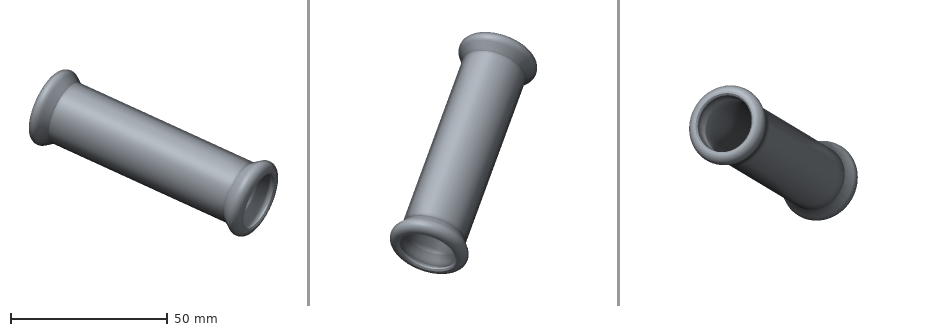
import cadquery as cq
import math

length = 80.0
bead_diameter = 26.2
tube_diameter = 21.3
bore_diameter = 18.2
bead_radius = 2.6
flare_end = 7.0
mouth_diameter = 19.9
chamfer_depth = 0.5
lip_diameter = 18.8
lip_end = 1.0
taper_start = 3.0
taper_start_diameter = 22.1
taper_end = 6.2
taper_end_diameter = 18.3
bore_start = 7.4

half_length = length / 2
tube_radius = tube_diameter / 2
mouth_radius = mouth_diameter / 2
lip_radius = lip_diameter / 2
taper_start_radius = taper_start_diameter / 2
taper_end_radius = taper_end_diameter / 2
bore_radius = bore_diameter / 2
bead_center_radius = bead_diameter / 2 - bead_radius

flare_run = flare_end - bead_radius
flare_rise = tube_radius - bead_center_radius
flare_reach = math.hypot(flare_run, flare_rise)
tangent_angle = math.atan2(flare_rise, flare_run) + math.acos(bead_radius / flare_reach)
tangent_depth = bead_radius * (1 + math.cos(tangent_angle))
tangent_radius = bead_center_radius + bead_radius * math.sin(tangent_angle)

middle_angle = (math.pi + tangent_angle) / 2
middle_depth = bead_radius * (1 + math.cos(middle_angle))
middle_radius = bead_center_radius + bead_radius * math.sin(middle_angle)


def make_half():
    """Revolve the half of the tube on the -X side."""
    def at(depth, radius):
        return (depth - half_length, radius)

    profile = (
        cq.Workplane("XY")
        .moveTo(*at(0, bead_center_radius))
        .threePointArc(at(middle_depth, middle_radius), at(tangent_depth, tangent_radius))
        .lineTo(*at(flare_end, tube_radius))
        .lineTo(*at(half_length, tube_radius))
        .lineTo(*at(half_length, bore_radius))
        .lineTo(*at(bore_start, bore_radius))
        .lineTo(*at(taper_end, taper_end_radius))
        .lineTo(*at(taper_start, taper_start_radius))
        .lineTo(*at(lip_end, lip_radius))
        .lineTo(*at(chamfer_depth, lip_radius))
        .lineTo(*at(0, mouth_radius))
        .close()
    )
    return profile.revolve(360, (0, 0, 0), (1, 0, 0))


half = make_half()
result = half.union(half.mirror("YZ")).clean()